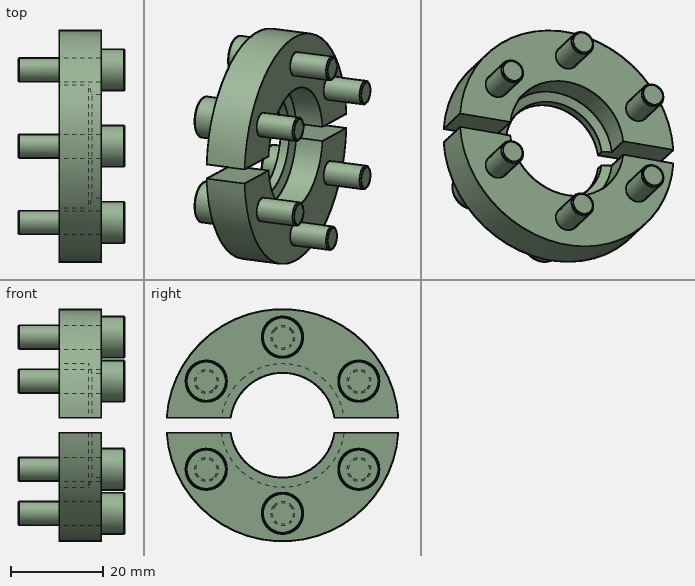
import cadquery as cq
import math

ring_diameter = 50.3
ring_thickness = 9.15
split_gap = 3.15

bore_diameter = 26.75
lip_diameter = 22.65
bore_depth = 6.35
lip_thickness = 2.1

bolt_count = 6
bolt_circle_diameter = 38.1
shank_diameter = 5.2
shank_projection = 8.9
head_diameter = 9.0
head_height = 5.1
bolt_edge_chamfer = 0.3

ring_radius = ring_diameter / 2
head_seat_x = ring_thickness
shank_tip_x = -shank_projection


def bolt_centre(index):
    """Centre (y, z) of a bolt; the first one sits at the top of the ring."""
    angle = math.radians(90 + index * 360 / bolt_count)
    radius = bolt_circle_diameter / 2
    return radius * math.cos(angle), radius * math.sin(angle)


bolt_centres = [bolt_centre(index) for index in range(bolt_count)]


def make_full_ring():
    """Stepped ring with bolt holes that match the shanks, before it is split."""
    section = [
        (0, bore_diameter / 2),
        (bore_depth, bore_diameter / 2),
        (ring_thickness - lip_thickness, lip_diameter / 2),
        (ring_thickness, lip_diameter / 2),
        (ring_thickness, ring_radius),
        (0, ring_radius),
    ]
    ring = cq.Workplane("XY").polyline(section).close().revolve(360, (0, 0, 0), (1, 0, 0))
    bolt_holes = (
        cq.Workplane("YZ").pushPoints(bolt_centres).circle(shank_diameter / 2).extrude(ring_thickness)
    )
    return ring.cut(bolt_holes)


def make_half_ring(side):
    """Half of the ring: side +1 is the upper half, side -1 the lower half."""
    keep_height = ring_radius
    keep_centre_z = side * (split_gap / 2 + keep_height / 2)
    keep_box = (
        cq.Workplane("XY")
        .box(ring_thickness, ring_diameter, keep_height)
        .translate((ring_thickness / 2, 0, keep_centre_z))
    )
    return make_full_ring().intersect(keep_box)


def make_bolt(centre):
    """Cylinder-head bolt along X with chamfered tip and head rim."""
    y, z = centre
    shank = (
        cq.Workplane("YZ", origin=(shank_tip_x, y, z))
        .circle(shank_diameter / 2)
        .extrude(head_seat_x - shank_tip_x)
        .faces("<X")
        .chamfer(bolt_edge_chamfer)
    )
    head = (
        cq.Workplane("YZ", origin=(head_seat_x, y, z))
        .circle(head_diameter / 2)
        .extrude(head_height)
        .faces(">X")
        .chamfer(bolt_edge_chamfer)
    )
    return shank.union(head)


half_rings = [make_half_ring(side).val() for side in (1, -1)]
bolts = [make_bolt(centre).val() for centre in bolt_centres]

result = cq.Compound.makeCompound([
    *[half_ring.Solids()[0] for half_ring in half_rings],
    *[bolt.Solids()[0] for bolt in bolts],
])